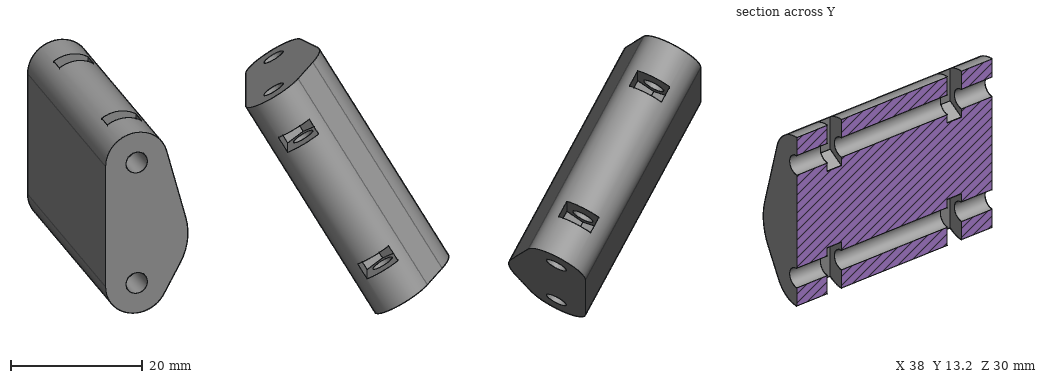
import cadquery as cq
import math

length = 38.0
end_diameter = 10.0
pivot_spacing = 20.0
hole_radius = 1.7

back_reach = 8.25
bulge_radius = 10.0
bulge_z = -2.77

slot_width = 2.75
slot_inset = 5.95
nut_across_flats = 5.5

end_radius = end_diameter / 2
pivot_z = pivot_spacing / 2
bulge_y = back_reach - bulge_radius


def polar_point(center, radius, angle):
    """Point in the YZ profile, with the angle measured from +Y toward +Z."""
    return (center[0] + radius * math.cos(angle), center[1] + radius * math.sin(angle))


def tangent_angle(end_sign):
    """Direction of the normal to the flat joining the bulge and one rounded end."""
    rise = end_sign * pivot_z - bulge_z
    run = -bulge_y
    distance = math.hypot(run, rise)
    toward_end = math.atan2(rise, run)
    return toward_end - end_sign * math.acos((bulge_radius - end_radius) / distance)


def make_body():
    """Extrude the closed profile of two rounded ends, a flat front and a bulged back."""
    upper = (0, pivot_z)
    lower = (0, -pivot_z)
    bulge = (bulge_y, bulge_z)
    upper_normal = tangent_angle(1)
    lower_normal = tangent_angle(-1)
    return (
        cq.Workplane("YZ", origin=(-length / 2, 0, 0))
        .moveTo(-end_radius, -pivot_z)
        .lineTo(-end_radius, pivot_z)
        .threePointArc((0, pivot_z + end_radius), polar_point(upper, end_radius, upper_normal))
        .lineTo(*polar_point(bulge, bulge_radius, upper_normal))
        .threePointArc((back_reach, bulge_z), polar_point(bulge, bulge_radius, lower_normal))
        .lineTo(*polar_point(lower, end_radius, lower_normal))
        .threePointArc((0, -pivot_z - end_radius), (-end_radius, -pivot_z))
        .close()
        .extrude(length)
    )


def make_pivot_holes():
    """Two holes running the whole length."""
    return (
        cq.Workplane("YZ", origin=(-length / 2, 0, 0))
        .pushPoints([(0, pivot_z), (0, -pivot_z)])
        .circle(hole_radius)
        .extrude(length)
    )


def make_nut_slot(start_x, end_sign):
    """Hexagonal nut seat around a hole, point inward, with its flats carried out to the rounded end."""
    half_width = nut_across_flats / 2
    point_depth = nut_across_flats / math.sqrt(3)
    corner_depth = point_depth / 2
    outline = [
        (0, -point_depth),
        (half_width, -corner_depth),
        (half_width, end_radius),
        (-half_width, end_radius),
        (-half_width, -corner_depth),
    ]
    return (
        cq.Workplane("YZ", origin=(start_x, 0, 0))
        .polyline([(y, end_sign * (pivot_z + z)) for y, z in outline])
        .close()
        .extrude(slot_width)
    )


result = make_body().cut(make_pivot_holes())
right_slot_start = length / 2 - slot_inset - slot_width
for start_x in (-length / 2 + slot_inset, right_slot_start):
    for end_sign in (1, -1):
        result = result.cut(make_nut_slot(start_x, end_sign))

result = result.translate((0, (end_radius - back_reach) / 2, 0))